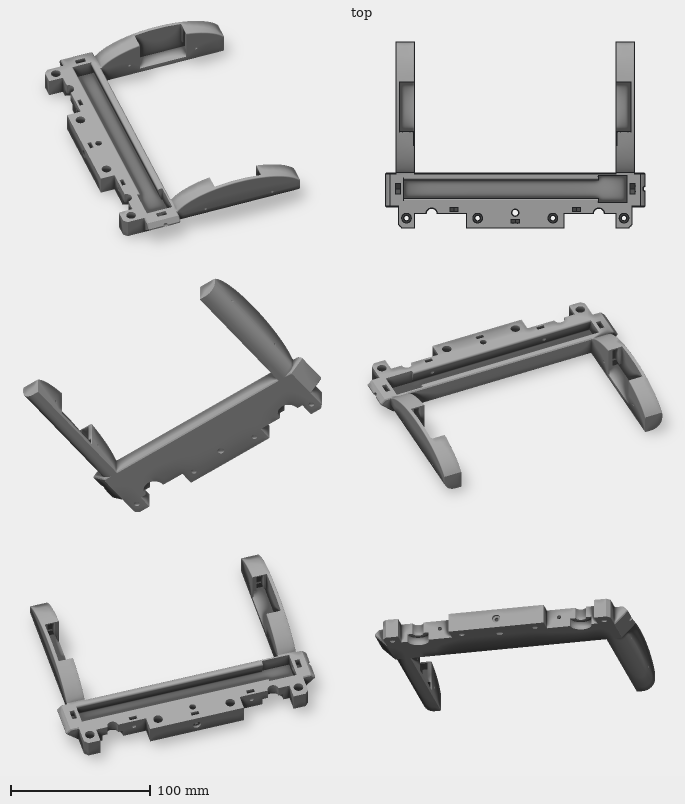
import cadquery as cq
import math

base_height = 14.0
body_half_width = 84.0
front_edge_y = 10.5
mid_block_half_width = 35.1
lug_inner_x = 72.5
lug_chamfer = 2.6

wing_front_y = 15.3
wing_back_y = 39.8
wing_half_width = 93.3
tip_low_z = 9.7
tip_high_z = 10.8
edge_chamfer = 0.7

floor_z = 3.0
pocket_half_length = 80.3
wide_start_x = 59.7
wide_front_y = 18.7
wide_back_y = 38.0
narrow_center_y = 28.0
opening_half_width = 6.3
undercut_half_width = 9.3
undercut_fillet = 0.5
lip_radius = 1.3

arm_outer_x = 85.9
arm_inner_x = 72.5
arm_end_y = 134.0
arc_start_y = 40.0
arm_peak_z = 27.8
arch_rise = 21.7
arch_edge_radius = 0.7
arm_corner_radius = 9.0
pin_hole_diameter = 1.9
pin_hole_z = 9.3
pin_hole_ys = (61.6, 112.7)

arm_pocket_outer_x = 83.3
arm_pocket_front_y = 69.5
arm_pocket_back_y = 105.1
hollow_overrun = 7.5
hollow_inner_x = 73.4
arm_floor_z = 3.5
hollow_roof_z = 10.0
channel_inner_x = 75.6
channel_outer_x = 81.0
channel_skin = 1.1

screw_y = 7.3
screw_xs = (27.0, 78.2)
screw_diameter = 4.0
head_diameter = 7.0
head_depth = 9.3
center_hole_diameter = 4.9
center_hole_y = 11.2
notch_x = 60.1
notch_diameter = 7.8
notch_bore_diameter = 15.7
notch_bore_height = 5.8

small_nut_width = 5.8
small_nut_thickness = 2.8
small_hole_diameter = 3.0
front_nut_x = 44.0
front_nut_y = 13.5
front_hole_z = 7.8
center_nut_y = 5.0
center_hole_z = 6.7
center_entry_diameter = 6.0
center_entry_depth = 1.9
side_nut_x = 84.4
side_nut_width = 7.5
side_nut_thickness = 3.5
side_hole_diameter = 4.0
side_hole_z = 10.0
side_nut_y = (wide_front_y + wide_back_y) / 2


def block(x0, x1, y0, y1, z0, z1):
    """Box given by its limits along each axis."""
    return cq.Workplane("XY").box(x1 - x0, y1 - y0, z1 - z0, centered=False).translate((x0, y0, z0))


def mirrored(shape):
    """Shape together with its mirror image across the YZ plane."""
    return shape.union(shape.mirror("YZ"))


def cylinder_up(x, y, z0, z1, diameter):
    """Vertical cylinder."""
    return cq.Workplane("XY", origin=(x, y, z0)).circle(diameter / 2).extrude(z1 - z0)


def cylinder_along_y(x, z, y0, y1, diameter):
    """Cylinder running toward +Y."""
    return cq.Workplane("XZ", origin=(x, y0, z)).circle(diameter / 2).extrude(y0 - y1)


def cylinder_along_x(y, z, x0, x1, diameter):
    """Cylinder running toward +X."""
    return cq.Workplane("YZ", origin=(x0, y, z)).circle(diameter / 2).extrude(x1 - x0)


def make_body():
    """Plate with the middle block and two front lugs."""
    plate = block(-body_half_width, body_half_width, front_edge_y, wing_back_y - 1.9, 0, base_height)
    middle = block(-mid_block_half_width, mid_block_half_width, 0, front_edge_y, 0, base_height)
    lug = block(lug_inner_x, body_half_width, 0, front_edge_y, 0, base_height)
    lug = lug.faces(">X").edges("<Y").chamfer(lug_chamfer)
    return plate.union(middle).union(mirrored(lug))


def make_wings():
    """Full-width bar with V-shaped ends and chamfered front and back rims."""
    top_x = wing_half_width - (base_height - tip_high_z)
    bottom_x = wing_half_width - tip_low_z
    bar = (
        cq.Workplane("XZ", origin=(0, wing_front_y, 0))
        .moveTo(-bottom_x, 0)
        .lineTo(bottom_x, 0)
        .lineTo(wing_half_width, tip_low_z)
        .lineTo(wing_half_width, tip_high_z)
        .lineTo(top_x, base_height)
        .lineTo(-top_x, base_height)
        .lineTo(-wing_half_width, tip_high_z)
        .lineTo(-wing_half_width, tip_low_z)
        .close()
        .extrude(wing_front_y - wing_back_y)
    )
    return bar.faces("<Y or >Y").chamfer(edge_chamfer)


def arch_slab(x0, x1, drop):
    """Slab between two X limits under the elliptical arch, the arch lowered by drop."""
    root_y = wing_back_y - edge_chamfer
    start_angle = math.asin(1 - (arm_peak_z - base_height) / arch_rise)
    arch_half_span = (arm_end_y - arc_start_y) / 2 / math.cos(start_angle)
    return (
        cq.Workplane("YZ", origin=(x0, 0, 0))
        .moveTo(root_y, 0)
        .lineTo(arm_end_y, 0)
        .lineTo(arm_end_y, base_height - drop)
        .ellipseArc(
            arch_half_span,
            arch_rise,
            math.degrees(start_angle),
            180 - math.degrees(start_angle),
            startAtCurrent=True,
        )
        .lineTo(root_y, base_height - drop)
        .close()
        .extrude(x1 - x0)
    )


def make_arm():
    """Right-hand arm with its hollowed pocket."""
    arm = arch_slab(arm_inner_x, arm_outer_x, 0)
    arm = arm.edges("%ELLIPSE").fillet(arch_edge_radius)
    arm = arm.faces(">X").edges("<Z").fillet(arm_corner_radius)
    pocket = block(
        arm_inner_x, arm_pocket_outer_x, arm_pocket_front_y, arm_pocket_back_y, arm_floor_z, arm_peak_z
    )
    hollow_front_y = arm_pocket_front_y - hollow_overrun
    hollow_back_y = arm_pocket_back_y + hollow_overrun
    hollow = block(
        hollow_inner_x, arm_pocket_outer_x, hollow_front_y, hollow_back_y, arm_floor_z, hollow_roof_z
    )
    channel = block(
        channel_inner_x, channel_outer_x, hollow_front_y, hollow_back_y, arm_floor_z, arm_peak_z
    ).intersect(arch_slab(channel_inner_x, channel_outer_x, channel_skin))
    arm = arm.cut(pocket).cut(hollow).cut(channel)
    for y in pin_hole_ys:
        arm = arm.cut(cylinder_along_x(y, pin_hole_z, arm_inner_x, arm_outer_x, pin_hole_diameter))
    return arm


def lip_rounding():
    """Cutter that rounds the two overhanging lips of the narrow run."""
    wall_tilt = math.atan2(undercut_half_width - opening_half_width, base_height - floor_z)
    tangent_length = lip_radius * math.tan(math.pi / 4 + wall_tilt / 2)
    center_y = opening_half_width + tangent_length
    center_z = base_height - lip_radius
    wall_y = center_y - lip_radius * math.cos(wall_tilt)
    wall_z = center_z - lip_radius * math.sin(wall_tilt)
    middle = (math.pi / 2 - wall_tilt) / 2
    lip = (
        cq.Workplane("YZ", origin=(-pocket_half_length, narrow_center_y, 0))
        .moveTo(0, base_height)
        .lineTo(center_y, base_height)
        .threePointArc(
            (center_y - lip_radius * math.cos(middle), center_z + lip_radius * math.sin(middle)),
            (wall_y, wall_z),
        )
        .lineTo(0, wall_z)
        .close()
        .extrude(pocket_half_length + wide_start_x)
    )
    return lip.union(lip.mirror("XZ", (0, narrow_center_y, 0)))


def main_pocket():
    """Pocket whose narrow run has overhanging side walls."""
    narrow = (
        cq.Workplane("YZ", origin=(-pocket_half_length, narrow_center_y, 0))
        .moveTo(-undercut_half_width, floor_z)
        .lineTo(undercut_half_width, floor_z)
        .lineTo(opening_half_width, base_height)
        .lineTo(-opening_half_width, base_height)
        .close()
        .extrude(pocket_half_length + wide_start_x)
    )
    narrow = narrow.faces("<Z").edges("|X").fillet(undercut_fillet)
    wide = block(
        wide_start_x, pocket_half_length, wide_front_y, wide_back_y, floor_z, base_height
    )
    return narrow.union(wide).union(lip_rounding())


def nut_slot(x, y, width, thickness, hole_z, turn):
    """Slot open at the top, its bottom a hexagon corner, turned about Z."""
    corner_z = hole_z - width / math.sqrt(3)
    shoulder_z = hole_z - width / (2 * math.sqrt(3))
    slot = (
        cq.Workplane("XZ")
        .moveTo(0, corner_z)
        .lineTo(width / 2, shoulder_z)
        .lineTo(width / 2, base_height)
        .lineTo(-width / 2, base_height)
        .lineTo(-width / 2, shoulder_z)
        .close()
        .extrude(thickness / 2, both=True)
    )
    return slot.rotate((0, 0, 0), (0, 0, 1), turn).translate((x, y, 0))


def screw_holes():
    """Vertical counterbored holes on both sides and the plain center hole."""
    holes = cylinder_up(0, center_hole_y, 0, base_height, center_hole_diameter)
    for x in screw_xs:
        hole = cylinder_up(x, screw_y, 0, base_height, screw_diameter)
        head = cylinder_up(x, screw_y, base_height - head_depth, base_height, head_diameter)
        holes = holes.union(mirrored(hole.union(head)))
    return holes


def cable_notches():
    """Half-round notches in the front edge, widened at the bottom."""
    notch = cylinder_up(notch_x, front_edge_y, 0, base_height, notch_diameter)
    bore = cylinder_up(notch_x, front_edge_y, 0, notch_bore_height, notch_bore_diameter)
    return mirrored(notch.union(bore))


def nut_slots():
    """Nut slots with their horizontal screw holes."""
    front = nut_slot(
        front_nut_x, front_nut_y, small_nut_width, small_nut_thickness, front_hole_z, 0
    ).union(
        cylinder_along_y(front_nut_x, front_hole_z, front_edge_y, narrow_center_y, small_hole_diameter)
    )
    side = nut_slot(side_nut_x, side_nut_y, side_nut_width, side_nut_thickness, side_hole_z, 90)
    side_hole = cylinder_along_x(
        side_nut_y, side_hole_z, wide_start_x, wing_half_width, side_hole_diameter
    )
    center = nut_slot(0, center_nut_y, small_nut_width, small_nut_thickness, center_hole_z, 0)
    center_hole = cylinder_along_y(0, center_hole_z, 0, center_nut_y, small_hole_diameter)
    entry = cylinder_along_y(0, center_hole_z, 0, center_entry_depth, center_entry_diameter)
    cutters = mirrored(front).union(mirrored(side)).union(side_hole)
    return cutters.union(center).union(center_hole).union(entry)


result = make_body().union(make_wings()).union(mirrored(make_arm()))
result = result.cut(main_pocket()).cut(screw_holes()).cut(cable_notches()).cut(nut_slots())